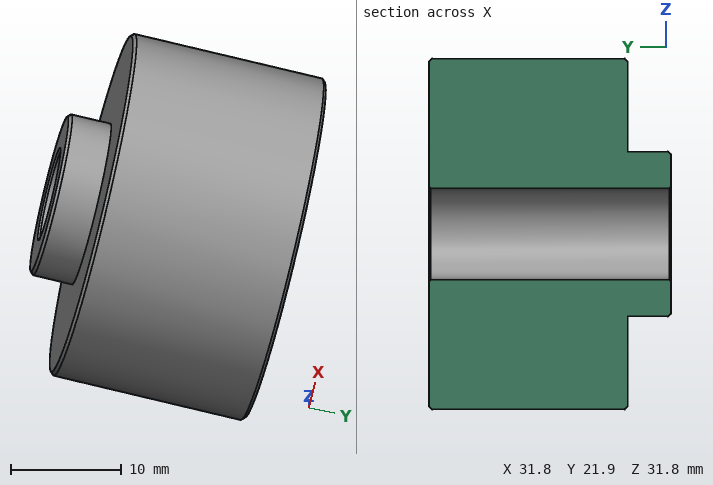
import cadquery as cq

body_diameter = 31.8
hub_diameter = 14.98
bore_diameter = 8.2
total_length = 21.9
body_length = 18.0
edge_chamfer = 0.3
bore_chamfer = 0.2

hub_length = total_length - body_length


def cylinder(diameter, start_y, length):
    """Cylinder about the Y axis, running from start_y towards +Y."""
    plane = cq.Workplane("XZ", origin=(0, start_y, 0))
    return plane.circle(diameter / 2).extrude(-length)


body = cylinder(body_diameter, 0, body_length).edges().chamfer(edge_chamfer)
hub = cylinder(hub_diameter, -hub_length, hub_length).faces("<Y").edges().chamfer(edge_chamfer)

bore = cylinder(bore_diameter, -hub_length, total_length)
result = body.union(hub).cut(bore)
bore_mouths = cq.selectors.RadiusNthSelector(0)
result = result.edges("%CIRCLE").edges(bore_mouths).chamfer(bore_chamfer)